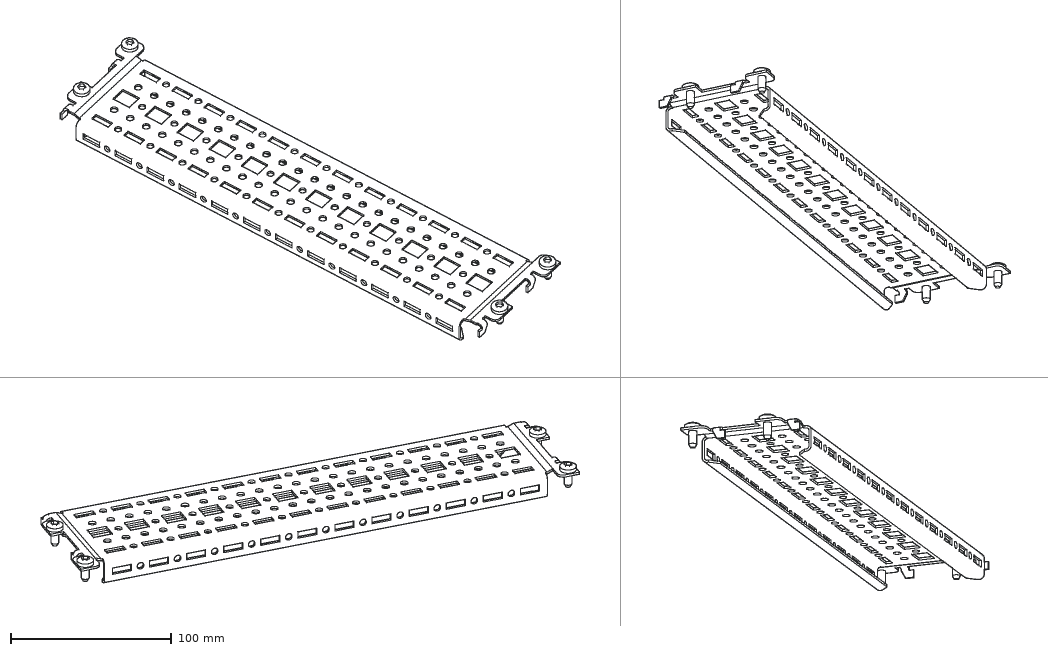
import cadquery as cq
import math

overall_length = 336.0
overall_width = 80.0
sheet = 1.5
bend_radius = 3.5

channel_length = 298.5
channel_width = 73.0
channel_height = 16.8
lip_length = 10.0
mitre_start = 4.5

slot_count = 12
slot_span = 275.0
pitch = slot_span / (slot_count - 1)
half_pitch = pitch / 2
slot_length = 12.8
slot_width = 4.5
window_width = 10.5
small_hole_diameter = 4.5
grid_hole_diameter = 4.7

slope_outer_x = 154.2
slope_inner_x = 150.2
neck_front_y = -31.5
recess_x = 159.3
tab_corner_radius = 4.0
tab_before_screw = 10.5
tab_behind_screw = 6.5

hook_outer_x = 163.3
hook_bend_radius = 3.0
hook_start = 13.5
hook_tongue_end = 18.5
hook_end = 21.5
hook_slant = 2.7
hook_bottom_z = 10.5

screw_x = 162.5
shank_diameter = 5.0
shank_tip_z = 6.5
tip_chamfer_length = 2.0
tip_chamfer_depth = 1.0
head_diameter = 10.5
head_rim_height = 2.5
screw_top_z = 22.2
socket_across_corners = 5.0
socket_depth = 2.0

flange_bottom_z = channel_height
flange_top_z = flange_bottom_z + sheet
flange_back_y = overall_width - channel_width / 2
neck_back_y = channel_width / 2 - bend_radius
front_screw_y = -half_pitch
back_screw_y = front_screw_y + 2 * pitch
screw_ys = (front_screw_y, back_screw_y)
slot_xs = [(i - (slot_count - 1) / 2) * pitch for i in range(slot_count)]
gap_xs = [x + half_pitch for x in slot_xs[:-1]]
grid_xs = slot_xs + gap_xs


def rounded_bar(inset):
    """Bar with the channel's outside shape, made smaller by the inset on its long faces."""
    return (
        cq.Workplane("YZ", origin=(-channel_length / 2, 0, channel_height / 2))
        .rect(channel_width - 2 * inset, channel_height - 2 * inset)
        .extrude(channel_length)
        .edges("|X")
        .fillet(bend_radius - inset)
    )


def make_channel():
    """C section whose lips are mitred at 45 degrees at both ends."""
    end_x = channel_length / 2
    mouth_y = channel_width / 2 - lip_length
    mitre_y = channel_width / 2 - mitre_start
    mitre_x = end_x - (mitre_y - mouth_y)
    mouth = (
        cq.Workplane("XY")
        .polyline([
            (-end_x, -mitre_y), (-mitre_x, -mouth_y), (mitre_x, -mouth_y), (end_x, -mitre_y),
            (end_x, mitre_y), (mitre_x, mouth_y), (-mitre_x, mouth_y), (-end_x, mitre_y),
        ])
        .close()
        .extrude(2 * sheet)
    )
    return rounded_bar(0).cut(rounded_bar(sheet)).cut(mouth)


def top_perforations():
    """Cutters for the channel top: slots, windows and holes."""
    middle_row = [(x, 0) for x in slot_xs]
    slot_rows = [(x, y) for x in slot_xs for y in (-pitch, pitch)]
    small_holes = [(x, y) for x in gap_xs for y in (-pitch, 0, pitch)]
    grid_holes = [(x, y) for x in grid_xs for y in (-half_pitch, half_pitch)]

    plane = cq.Workplane("XY", origin=(0, 0, channel_height - 2 * sheet))
    depth = 3 * sheet
    slots = plane.pushPoints(slot_rows).rect(slot_length, slot_width).extrude(depth)
    windows = plane.pushPoints(middle_row).rect(slot_length, window_width).extrude(depth)
    holes = plane.pushPoints(small_holes).circle(small_hole_diameter / 2).extrude(depth)
    grid = plane.pushPoints(grid_holes).circle(grid_hole_diameter / 2).extrude(depth)
    return [slots, windows, holes, grid]


def wall_perforations():
    """Cutters through both side walls: slots with a hole in each gap."""
    plane = cq.Workplane("XZ", origin=(0, 0, channel_height / 2))
    slot_centres = [(x, 0) for x in slot_xs]
    hole_centres = [(x, 0) for x in gap_xs]
    depth = channel_width
    slots = plane.pushPoints(slot_centres).rect(slot_length, slot_width).extrude(depth, both=True)
    holes = plane.pushPoints(hole_centres).circle(small_hole_diameter / 2).extrude(depth, both=True)
    return [slots, holes]


def make_slope():
    """Sloped strip that joins the channel top to the raised flange."""
    top_z = channel_height
    return (
        cq.Workplane("XZ", origin=(0, neck_back_y, 0))
        .moveTo(channel_length / 2, top_z)
        .lineTo(slope_inner_x, top_z)
        .lineTo(slope_outer_x, flange_top_z)
        .lineTo(slope_outer_x, flange_bottom_z)
        .lineTo(slope_inner_x, top_z - sheet)
        .lineTo(channel_length / 2, top_z - sheet)
        .close()
        .extrude(neck_back_y - neck_front_y)
    )


def make_flange_plate():
    outer_x = overall_length / 2
    back_tab_front_y = back_screw_y - tab_before_screw
    front_tab_front_y = front_screw_y - tab_before_screw
    front_tab_back_y = front_screw_y + tab_behind_screw
    plate = (
        cq.Workplane("XY", origin=(0, 0, flange_bottom_z))
        .moveTo(slope_outer_x, flange_back_y)
        .lineTo(outer_x, flange_back_y)
        .lineTo(outer_x, back_tab_front_y)
        .lineTo(recess_x, back_tab_front_y)
        .lineTo(recess_x, front_tab_back_y)
        .lineTo(outer_x, front_tab_back_y)
        .lineTo(outer_x, front_tab_front_y)
        .lineTo(recess_x, front_tab_front_y)
        .lineTo(recess_x, neck_front_y)
        .lineTo(slope_outer_x, neck_front_y)
        .close()
        .extrude(sheet)
    )
    rounded_corners = (
        (slope_outer_x, flange_back_y),
        (outer_x, back_tab_front_y),
        (outer_x, front_tab_front_y),
    )
    for x, y in rounded_corners:
        corner = cq.selectors.NearestToPointSelector((x, y, flange_bottom_z + sheet / 2))
        plate = plate.edges("|Z").edges(corner).fillet(tab_corner_radius)
    screw_holes = (
        cq.Workplane("XY", origin=(0, 0, flange_bottom_z))
        .pushPoints([(screw_x, y) for y in screw_ys])
        .circle(shank_diameter / 2)
        .extrude(sheet)
    )
    return plate.cut(screw_holes)


def make_hook(screw_y):
    """Tongue bent down from the recess edge, with a flap reaching forward at its lower end."""
    bend_x = hook_outer_x - hook_bend_radius
    bend_z = flange_top_z - hook_bend_radius
    inner_radius = hook_bend_radius - sheet
    diagonal = math.sqrt(0.5)
    tongue = (
        cq.Workplane("XZ", origin=(0, screw_y - hook_start, 0))
        .moveTo(slope_outer_x, flange_top_z)
        .lineTo(bend_x, flange_top_z)
        .threePointArc(
            (bend_x + hook_bend_radius * diagonal, bend_z + hook_bend_radius * diagonal),
            (hook_outer_x, bend_z),
        )
        .lineTo(hook_outer_x - sheet, bend_z)
        .threePointArc(
            (bend_x + inner_radius * diagonal, bend_z + inner_radius * diagonal),
            (bend_x, flange_bottom_z),
        )
        .lineTo(slope_outer_x, flange_bottom_z)
        .close()
        .extrude(hook_tongue_end - hook_start)
    )
    flap = (
        cq.Workplane("YZ", origin=(hook_outer_x - sheet, screw_y, 0))
        .moveTo(-hook_start, bend_z)
        .lineTo(-hook_start - hook_slant, hook_bottom_z)
        .lineTo(-hook_end, hook_bottom_z)
        .lineTo(-hook_end, bend_z)
        .close()
        .extrude(sheet)
    )
    return tongue.union(flap)


def make_flange():
    flange = make_flange_plate().union(make_slope())
    for screw_y in screw_ys:
        flange = flange.union(make_hook(screw_y))
    return flange


def make_panel():
    panel = make_channel()
    for cutter in top_perforations() + wall_perforations():
        panel = panel.cut(cutter)
    flange = make_flange()
    return panel.union(flange).union(flange.mirror("YZ"))


def make_screw(x, y):
    """Dome-headed hexagon socket screw, its head resting on the flange."""
    shank_radius = shank_diameter / 2
    head_radius = head_diameter / 2
    rim_z = flange_top_z + head_rim_height
    socket_inradius = socket_across_corners / 2 * math.cos(math.pi / 6)
    dome_rise = screw_top_z - rim_z
    dome_centre_z = (screw_top_z + rim_z - (head_radius**2 - socket_inradius**2) / dome_rise) / 2
    apex_z = dome_centre_z + math.hypot(head_radius, rim_z - dome_centre_z)
    body = (
        cq.Workplane("XZ")
        .moveTo(0, shank_tip_z)
        .lineTo(shank_radius - tip_chamfer_depth, shank_tip_z)
        .lineTo(shank_radius, shank_tip_z + tip_chamfer_length)
        .lineTo(shank_radius, flange_top_z)
        .lineTo(head_radius, flange_top_z)
        .lineTo(head_radius, rim_z)
        .threePointArc((socket_inradius, screw_top_z), (0, apex_z))
        .close()
        .revolve(360, (0, 0, 0), (0, 1, 0))
    )
    socket = (
        cq.Workplane("XY", origin=(0, 0, screw_top_z - socket_depth))
        .polygon(6, socket_across_corners)
        .extrude(2 * socket_depth)
        .rotate((0, 0, 0), (0, 0, 1), 90)
    )
    return body.cut(socket).translate((x, y, 0))


panel = make_panel()
screws = [make_screw(x, y) for x in (-screw_x, screw_x) for y in screw_ys]

result = cq.Compound.makeCompound([panel.val(), *[screw.val() for screw in screws]])